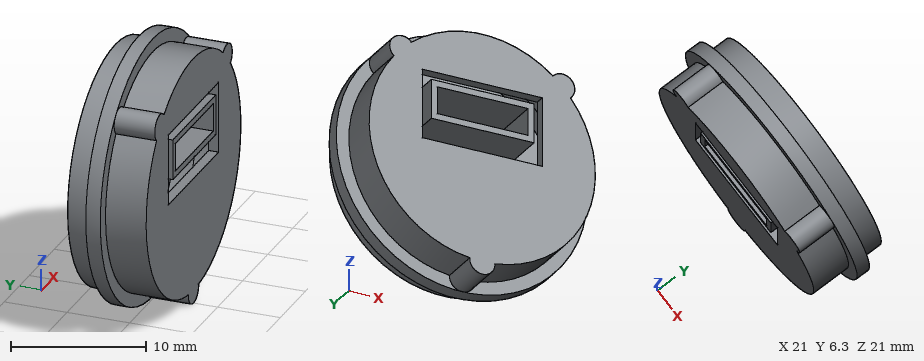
import cadquery as cq
import math

flange_radius = 10.5
cap_radius = 9.45
base_radius = 9.51
wall = 0.8
cavity_radius = cap_radius - wall

flange_front = 3.23
flange_thickness = 1.15
floor_depth = 4.8
total_depth = 6.3
socket_protrusion = 0.06
base_back = total_depth - socket_protrusion

lug_angles = (45, 135, 270)
lug_radius = flange_radius - cap_radius

window_width = 10.02
window_height = 5.7
window_center_z = 2.5

socket_width = 8.57
socket_height = 3.23
socket_wall = 0.5
socket_center_z = 3.02


def cylinder(radius, start, end, x=0, z=0):
    """Round bar along Y from start to end."""
    return cq.Workplane(cq.Solid.makeCylinder(
        radius, end - start, cq.Vector(x, start, z), cq.Vector(0, 1, 0)))


def block(width, height, start, end, center_z):
    """Rectangular bar along Y, centered on X = 0."""
    depth = end - start
    return cq.Workplane("XY").box(width, depth, height).translate((0, start + depth / 2, center_z))


def make_cap():
    """Front cup with three rim lugs and a window through its face."""
    cap = cylinder(cap_radius, 0, flange_front)
    for angle in lug_angles:
        x = cap_radius * math.cos(math.radians(angle))
        z = cap_radius * math.sin(math.radians(angle))
        cap = cap.union(cylinder(lug_radius, 0, flange_front, x, z))
    cap = cap.cut(cylinder(cavity_radius, wall, flange_front))
    return cap.cut(block(window_width, window_height, 0, wall, window_center_z))


def make_base():
    """Flanged rear cup with the socket tube rising through the cap window."""
    base = cylinder(base_radius, flange_front, base_back)
    base = base.union(cylinder(flange_radius, flange_front, flange_front + flange_thickness))
    base = base.cut(cylinder(cavity_radius, flange_front, floor_depth))

    socket = block(socket_width, socket_height, -socket_protrusion, floor_depth, socket_center_z)
    opening = block(socket_width - 2 * socket_wall, socket_height - 2 * socket_wall,
                    -socket_protrusion, floor_depth, socket_center_z)
    return base.union(socket.cut(opening))


cap = make_cap()
base = make_base()
result = cq.Compound.makeCompound([cap.val(), base.val()])